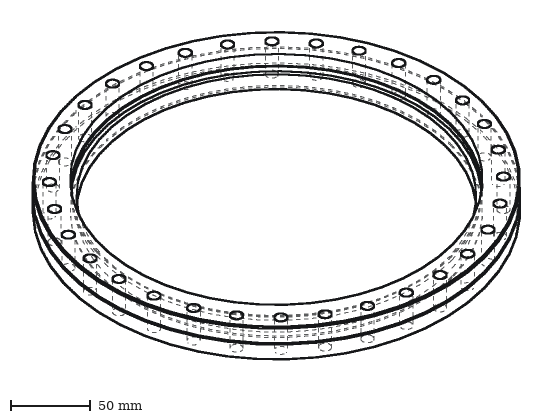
import cadquery as cq

outer_diameter = 304.8
height = 26.0
edge_chamfer = 1.0

bore_diameter = 250.0
ledge_height = height / 2
seat_diameter = 256.3
seat_top_height = 16.8
mouth_diameter = 258.0

recess_depth = 1.2

groove_width = 1.2
groove_depth = groove_width / 2

bolt_count = 32
bolt_circle_diameter = 284.0
bolt_hole_diameter = 8.2


def disc(diameter, bottom, top):
    """Solid cylinder on the ring axis between two heights."""
    return cq.Workplane("XY").workplane(offset=bottom).circle(diameter / 2).extrude(top - bottom)


def outer_groove():
    """Revolved triangle whose wide side lies on the outer wall."""
    outer_radius = outer_diameter / 2
    middle = height / 2
    return (
        cq.Workplane("XZ")
        .moveTo(outer_radius, middle - groove_width / 2)
        .lineTo(outer_radius - groove_depth, middle)
        .lineTo(outer_radius, middle + groove_width / 2)
        .close()
        .revolve(360, (0, 0, 0), (0, 1, 0))
    )


def bolt_holes():
    """Through holes evenly spaced on the bolt circle, the first one on +X."""
    return (
        cq.Workplane("XY")
        .polarArray(bolt_circle_diameter / 2, 0, 360, bolt_count)
        .circle(bolt_hole_diameter / 2)
        .extrude(height)
    )


blank = disc(outer_diameter, 0, height).edges().chamfer(edge_chamfer)

result = (
    blank.cut(disc(bore_diameter, 0, height))
    .cut(disc(seat_diameter, ledge_height, height))
    .cut(disc(mouth_diameter, seat_top_height, height))
    .cut(disc(mouth_diameter, 0, recess_depth))
    .cut(outer_groove())
    .cut(bolt_holes())
)